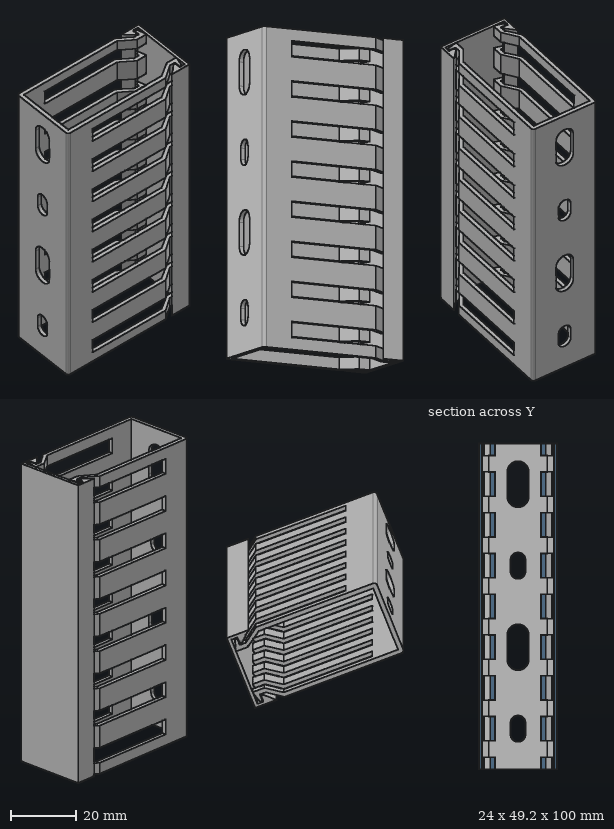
import cadquery as cq


width = 24.0
length = 100.0
half_width = width / 2

wall = 1.5
duct_depth = 48.0
corner_radius = 1.0
neck_outer = 8.5
neck_inner = neck_outer - wall
neck_start = 44.2
shoulder_outer = 39.5
shoulder_inner = 39.15
barb_tip = 10.8
barb_bottom = 46.2
barb_tip_top = 46.6
barb_shoulder = 10.4
barb_shoulder_height = 47.1
barb_crest = 7.3

slot_count = 8
slot_pitch = length / slot_count
slot_width = 5.0
slot_bottom = 10.0

hole_count = 4
hole_pitch = length / hole_count
long_hole_length = 14.0
long_hole_width = 6.5
short_hole_length = 8.0
short_hole_width = 4.5

cover_top = 49.19
cover_leg = 1.0
cover_bottom = 42.05
ledge_height = 46.05
ledge_tip = 9.0
ledge_tip_height = 45.95
ledge_tip_bottom = 45.2


def extrude_symmetric(right_half):
    """Extrude the closed outline made of a right-hand chain and its mirror image."""
    left_half = [(-x, y) for x, y in reversed(right_half)]
    return cq.Workplane("XY").polyline(right_half + left_half).close().extrude(length)


def make_duct_shell():
    """Channel with sloped shoulders and outward barbs along both rims."""
    right_half = [
        (half_width, 0),
        (half_width, shoulder_outer),
        (neck_outer, neck_start),
        (neck_outer, barb_bottom),
        (barb_tip, barb_bottom),
        (barb_tip, barb_tip_top),
        (barb_shoulder, barb_shoulder_height),
        (barb_crest, duct_depth),
        (neck_inner, duct_depth),
        (neck_inner, neck_start),
        (half_width - wall, shoulder_inner),
        (half_width - wall, wall),
    ]
    return extrude_symmetric(right_half).edges("|Z and <Y").fillet(corner_radius)


def cut_side_slots(duct):
    """Cut the slots that divide both side walls into fingers."""
    slot_depth = duct_depth - slot_bottom
    for i in range(slot_count):
        slot = (
            cq.Workplane("XY")
            .box(width, slot_depth, slot_width)
            .translate((0, slot_bottom + slot_depth / 2, (i + 0.5) * slot_pitch))
        )
        duct = duct.cut(slot)
    return duct


def cut_mounting_holes(duct):
    """Cut the alternating short and long obround holes through the floor."""
    for i in range(hole_count):
        is_short = i % 2 == 0
        hole_length = short_hole_length if is_short else long_hole_length
        hole_width = short_hole_width if is_short else long_hole_width
        hole = (
            cq.Workplane("XZ")
            .center(0, (i + 0.5) * hole_pitch)
            .slot2D(hole_length, hole_width, 90)
            .extrude(-wall)
        )
        duct = duct.cut(hole)
    return duct


def make_duct():
    return cut_mounting_holes(cut_side_slots(make_duct_shell()))


def make_cover():
    """Flat cover with side legs whose ledges snap under the barbs."""
    right_half = [
        (half_width, cover_top),
        (half_width, cover_bottom),
        (ledge_tip, ledge_tip_bottom),
        (ledge_tip, ledge_tip_height),
        (half_width - cover_leg, ledge_height),
        (half_width - cover_leg, duct_depth),
    ]
    return extrude_symmetric(right_half)


duct = make_duct()
cover = make_cover()

result = cq.Compound.makeCompound([duct.val(), cover.val()])